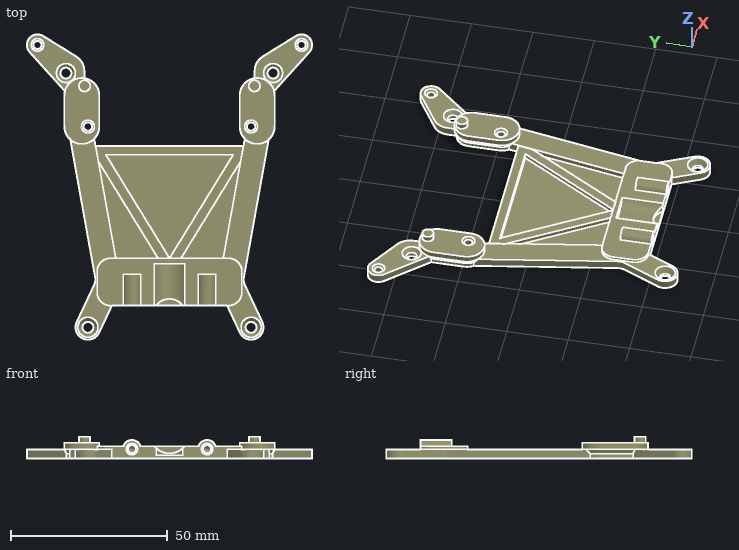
import cadquery as cq
import math


frame_height = 2.9
rib_height = 2.7
panel_height = 1.0
bracket_height = 4.0
plate_top = 5.1
pin_top = 7.0

foot_x = 26.0
foot_radius = 4.0
leg_end_x, leg_end_y = 18.2, 16.6
foot_hole_diameter = 3.4
foot_sink_diameter = 6.4
foot_sink_depth = 1.95
knee_fillet = 4.1

arm_front_x, arm_front_y = 19.5, 13.6
arm_rear_x, arm_rear_y = 28.2, 61.9
arm_width = 7.6

plate_x = 28.0
plate_width = 11.2
plate_front_y, plate_rear_y = 58.5, 79.5
plate_inset = 0.7
taper_bottom = 1.6
pin_diameter = 3.6
pin_x, pin_y = 27.1, 77.0
plate_hole_y = 64.0
plate_hole_diameter = 2.6
plate_sink_diameter = 4.1

tip_x, tip_y = 42.1, 90.1
tip_radius = 3.4
tip_hole_diameter = 2.5
tip_sink_diameter = 4.0
ear_inner_angle = 31.8
ear_outer_angle = 47.9
ear_inner_x = pin_x
ear_corner_radius = 5.7
ear_hole_x, ear_hole_y = 33.0, 81.1
ear_hole_diameter = 3.4
ear_sink_diameter = 6.0

bracket_half_width = 23.1
bracket_front_y, bracket_rear_y = 6.9, 22.0
bracket_corner = 4.3
boss_x, boss_z = 12.0, 3.0
boss_radius = 2.9
boss_rear_y = 17.0
boss_hole_diameter = 2.5
boss_sink_diameter = 3.6
boss_hole_depth = 7.8

saddle_width = 9.7
saddle_depth = 2.3
saddle_rear_y = 20.3
notch_width = 8.5
notch_depth = 2.1
notch_floor = 1.1

panel_rear_y = 57.9
rib_width = 2.9
window_half_width = 20.3
diagonal_width = 3.1


def bar(x0, y0, x1, y1, width, height):
    """Straight square-ended bar between two points, standing on Z = 0."""
    length = math.hypot(x1 - x0, y1 - y0)
    angle = math.degrees(math.atan2(y1 - y0, x1 - x0))
    return (
        cq.Workplane("XY")
        .box(length, width, height, centered=(False, True, False))
        .rotate((0, 0, 0), (0, 0, 1), angle)
        .translate((x0, y0, 0))
    )


def disc(x, y, diameter, bottom, top):
    """Upright cylinder between two heights."""
    return cq.Workplane("XY", origin=(x, y, bottom)).circle(diameter / 2).extrude(top - bottom)


def sunk_hole(x, y, hole_diameter, sink_diameter, top, sink_depth=None):
    """Cutter for a through hole with a conical sink, at 45 degrees unless a depth is given."""
    hole_radius = hole_diameter / 2
    sink_radius = sink_diameter / 2
    depth = sink_depth or sink_radius - hole_radius
    profile = [(0, 0), (hole_radius, 0), (hole_radius, top - depth), (sink_radius, top), (0, top)]
    return cq.Workplane("XZ").polyline(profile).close().revolve().translate((x, y, 0))


def make_leg_and_arm():
    """Leg and side arm joined by a rounded knee, with a round foot."""
    leg = bar(foot_x, 0, leg_end_x, leg_end_y, 2 * foot_radius, frame_height)
    arm = bar(arm_front_x, arm_front_y, arm_rear_x, arm_rear_y, arm_width, frame_height)
    foot = disc(foot_x, 0, 2 * foot_radius, 0, frame_height)
    knee = cq.selectors.NearestToPointSelector((bracket_half_width, leg_end_y, frame_height / 2))
    limbs = leg.union(arm)
    limbs = limbs.edges("|Z").edges(knee).fillet(knee_fillet)
    return limbs.union(foot)


def plate_outline(width, height):
    """Slot outline of the given width at a height, sharing its end centers with the full plate."""
    length = plate_rear_y - plate_front_y - (plate_width - width)
    middle_y = (plate_front_y + plate_rear_y) / 2
    return cq.Workplane("XY", origin=(plate_x, middle_y, height)).slot2D(length, width, 90)


def make_plate():
    """Raised plate over a narrower base, blended by a taper, with a pin on top."""
    narrow_width = plate_width - 2 * plate_inset
    taper_height = frame_height - taper_bottom
    taper = math.degrees(math.atan2(plate_inset, taper_height))
    plate = plate_outline(plate_width, frame_height).extrude(plate_top - frame_height)
    skirt = plate_outline(narrow_width, taper_bottom).extrude(taper_height, taper=-taper)
    base = plate_outline(narrow_width, 0).extrude(taper_bottom)
    return base.union(skirt).union(plate).union(disc(pin_x, pin_y, pin_diameter, plate_top, pin_top))


def make_ear():
    """Tapered ear from the tip to the plate, its sides tangent to the round tip."""
    inner = math.radians(ear_inner_angle)
    outer = math.radians(ear_outer_angle)
    inner_tip = (tip_x - tip_radius * math.sin(inner), tip_y + tip_radius * math.cos(inner))
    outer_tip = (tip_x + tip_radius * math.sin(outer), tip_y - tip_radius * math.cos(outer))
    corner_y = inner_tip[1] - (inner_tip[0] - ear_inner_x) * math.tan(inner)
    root_x = plate_x + plate_width / 2 - plate_inset
    root_y = outer_tip[1] - (outer_tip[0] - root_x) * math.tan(outer)
    middle = (inner + outer) / 2
    tip_end = (tip_x + tip_radius * math.cos(middle), tip_y + tip_radius * math.sin(middle))
    ear = (
        cq.Workplane("XY")
        .moveTo(*inner_tip)
        .threePointArc(tip_end, outer_tip)
        .lineTo(root_x, root_y)
        .lineTo(ear_inner_x, root_y)
        .lineTo(ear_inner_x, corner_y)
        .close()
        .extrude(frame_height)
    )
    corner = cq.selectors.NearestToPointSelector((ear_inner_x, corner_y, frame_height / 2))
    return ear.edges("|Z").edges(corner).fillet(ear_corner_radius)


def make_panel():
    """Thin panel between the arms, with a rear rib and a diagonal rib."""
    arm_slope = (arm_rear_x - arm_front_x) / (arm_rear_y - arm_front_y)

    def arm_line(y):
        return arm_front_x + (y - arm_front_y) * arm_slope

    floor_outline = [
        (0, saddle_rear_y),
        (arm_line(saddle_rear_y), saddle_rear_y),
        (arm_line(panel_rear_y), panel_rear_y),
        (0, panel_rear_y),
    ]
    panel = cq.Workplane("XY").polyline(floor_outline).close().extrude(rib_height)

    window_rear_y = panel_rear_y - rib_width
    slope = (window_rear_y - bracket_rear_y) / window_half_width
    offset_x = diagonal_width * math.hypot(1, slope) / slope
    window = [(0, bracket_rear_y), (window_half_width, window_rear_y), (0, window_rear_y)]
    side_meet_y = bracket_rear_y + (arm_line(bracket_rear_y) - offset_x) / (1 / slope - arm_slope)
    side_meet_x = arm_line(side_meet_y)
    side_window = [
        (offset_x, bracket_rear_y),
        (side_meet_x, side_meet_y),
        (arm_line(bracket_rear_y), bracket_rear_y),
    ]
    for outline in (window, side_window):
        recess = cq.Workplane("XY", origin=(0, 0, panel_height)).polyline(outline).close()
        panel = panel.cut(recess.extrude(rib_height))
    return panel


def make_bracket():
    """Rounded front block with two horizontal bosses, a saddle and a notch."""
    width = 2 * bracket_half_width
    depth = bracket_rear_y - bracket_front_y
    bracket = (
        cq.Workplane("XY")
        .box(width, depth, bracket_height, centered=(True, False, False))
        .translate((0, bracket_front_y, 0))
        .edges("|Z")
        .fillet(bracket_corner)
    )
    front = cq.Workplane("XZ", origin=(0, bracket_front_y, 0))
    bosses = front.pushPoints([(-boss_x, boss_z), (boss_x, boss_z)]).circle(boss_radius)
    bracket = bracket.union(bosses.extrude(bracket_front_y - boss_rear_y))

    half_saddle = saddle_width / 2
    saddle = (
        front.moveTo(-half_saddle, bracket_height)
        .threePointArc((0, bracket_height - saddle_depth), (half_saddle, bracket_height))
        .close()
        .extrude(bracket_front_y - saddle_rear_y)
    )
    notch = (
        cq.Workplane("XY", origin=(0, bracket_front_y, notch_floor))
        .moveTo(-notch_width / 2, 0)
        .threePointArc((0, notch_depth), (notch_width / 2, 0))
        .close()
        .extrude(bracket_height)
    )
    return bracket.cut(saddle).cut(notch)


def boss_hole(x):
    """Cutter for a blind drilled hole along Y with a chamfered mouth and a drill point."""
    radius = boss_hole_diameter / 2
    mouth_radius = boss_sink_diameter / 2
    profile = [
        (0, 0),
        (mouth_radius, 0),
        (radius, mouth_radius - radius),
        (radius, boss_hole_depth),
        (0, boss_hole_depth + radius),
    ]
    cutter = cq.Workplane("XY").polyline(profile).close().revolve(360, (0, 0), (0, 1))
    return cutter.translate((x, bracket_front_y, boss_z))


half = make_leg_and_arm().union(make_ear()).union(make_panel()).union(make_plate())
half = half.cut(sunk_hole(foot_x, 0, foot_hole_diameter, foot_sink_diameter, frame_height, foot_sink_depth))
half = half.cut(sunk_hole(ear_hole_x, ear_hole_y, ear_hole_diameter, ear_sink_diameter, frame_height))
half = half.cut(sunk_hole(tip_x, tip_y, tip_hole_diameter, tip_sink_diameter, frame_height))
half = half.cut(sunk_hole(foot_x, plate_hole_y, plate_hole_diameter, plate_sink_diameter, plate_top))

result = half.union(half.mirror("YZ")).union(make_bracket())
for side in (-1, 1):
    result = result.cut(boss_hole(side * boss_x))